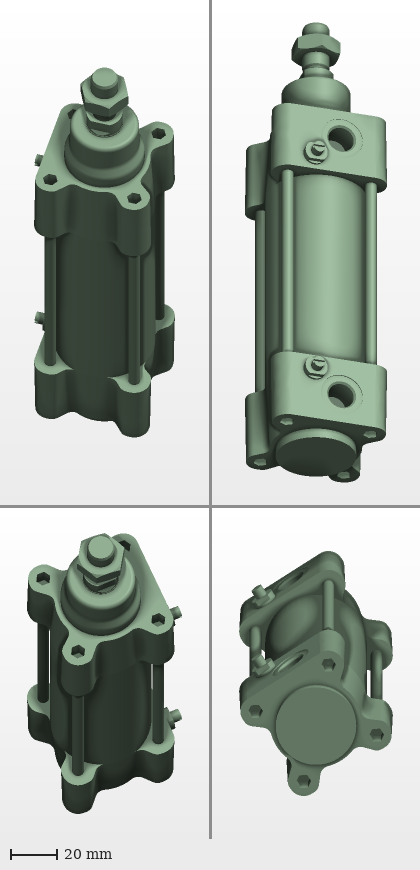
import cadquery as cq
import math

TOTAL_HEIGHT = 213.0
FOOT_HEIGHT = 4.3
CAP_HEIGHT = 30.9
FRONT_CAP_TOP = 159.0
NECK_TOP = 181.5
REAR_CAP_BOTTOM = FOOT_HEIGHT
REAR_CAP_TOP = REAR_CAP_BOTTOM + CAP_HEIGHT
FRONT_CAP_BOTTOM = FRONT_CAP_TOP - CAP_HEIGHT
MIRROR_LEVEL = (FRONT_CAP_TOP + REAR_CAP_BOTTOM) / 2

CAP_HALF_WIDTH = 26.0
CAP_DRAFT = 0.5
TIE_ROD_OFFSET = 19.0
LOBE_FLAT = 1.3
OUTER_SHOULDER_RADIUS = 4.5
INNER_SHOULDER_RADIUS = 5.1
FLANK_ANGLE = 49.0
VALLEY_RADIUS = 4.5
OUTER_WAIST_RADIUS = 20.0

BARREL_RADIUS = 44.0 / 2
TIE_ROD_DIAMETER = 5.1
SOCKET_ACROSS_FLATS = 5.8
SOCKET_DEPTH = 8.5
COLLAR_RADIUS = 35.0 / 2
NECK_RADIUS = 30.0 / 2
COLLAR_TOP = 163.4
NECK_BASE = 169.8
FLARE_ANGLE = 30.0
FLARE_BEND_HEIGHT = 2.0
NECK_FILLET = 2.0
WIPER_DIAMETER = 16.0
WIPER_HEIGHT = 0.6

PORT_Y = -3.6
PORT_BELOW_CAP_TOP = 13.6
PORT_DIAMETER = 11.5
PORT_MOUTH_DIAMETER = 13.2
PORT_DEPTH = 12.8
SPOT_FACE_DIAMETER = 19.0
SPOT_FACE_DEPTH = 0.6
SCREW_Y = 9.0
SCREW_BELOW_CAP_TOP = 23.9
SCREW_HEAD_DIAMETER = 10.0
SCREW_HEAD_END = 29.2
SCREW_FLATS_START = 27.0
SCREW_TIP_END = 33.5
SCREW_ACROSS_FLATS = 7.9
SCREW_TIP_DIAMETER = 5.1
SCREW_SLOT_WIDTH = 1.3
SCREW_SLOT_DEPTH = 1.3

ROD_DIAMETER = 15.5
ROD_ACROSS_FLATS = 13.0
FLATS_BOTTOM = 183.8
ROD_SHOULDER = 189.1
RELIEF_DIAMETER = 10.5
THREAD_BOTTOM = 191.7
THREAD_DIAMETER = 12.0
THREAD_CHAMFER_HEIGHT = 1.3
THREAD_CHAMFER_DEPTH = 0.6
NUT_ACROSS_FLATS = 19.0
NUT_BOTTOM = 198.0
NUT_HEIGHT = 7.0
NUT_ROTATION = -3.0
NUT_CHAMFER_SLOPE = 30.0


def cylinder(diameter, bottom, top):
    return cq.Workplane("XY").workplane(offset=bottom).circle(diameter / 2).extrude(top - bottom)


def hexagon(across_flats, bottom, height):
    corner_diameter = across_flats / math.cos(math.radians(30))
    return cq.Workplane("XY").workplane(offset=bottom).polygon(6, corner_diameter).extrude(height)


def flank_points(half_width, shoulder_radius, waist_radius):
    """Half of one scalloped side, from lobe to waist, as (distance from its middle, distance outward)."""
    angle = math.radians(FLANK_ANGLE)
    start = cq.Vector(TIE_ROD_OFFSET - LOBE_FLAT, half_width)
    shoulder_center = start - cq.Vector(0, shoulder_radius)

    def on_shoulder(turn):
        return shoulder_center + cq.Vector(-math.sin(turn), math.cos(turn)) * shoulder_radius

    normal = cq.Vector(-math.sin(angle), math.cos(angle))
    along = cq.Vector(math.cos(angle), math.sin(angle))
    normal_distance = on_shoulder(angle).dot(normal) + VALLEY_RADIUS
    center_distance = waist_radius + VALLEY_RADIUS
    valley_center = normal * normal_distance + along * math.sqrt(center_distance**2 - normal_distance**2)
    to_flank = normal * -1
    to_waist = valley_center.normalized() * -1
    valley_start = valley_center + to_flank * VALLEY_RADIUS
    valley_middle = valley_center + (to_flank + to_waist).normalized() * VALLEY_RADIUS
    valley_end = valley_center + to_waist * VALLEY_RADIUS
    points = [start, on_shoulder(angle / 2), on_shoulder(angle), valley_start, valley_middle, valley_end]
    return [(point.x, point.y) for point in points]


def cap_outline(level, inset, shoulder_radius, waist_radius):
    """Square with four round lobes, a flat -X side and three scalloped sides."""
    half_width = CAP_HALF_WIDTH - inset
    lobe_radius = half_width - TIE_ROD_OFFSET
    diagonal = TIE_ROD_OFFSET + lobe_radius * math.sin(math.radians(45))
    half_side = flank_points(half_width, shoulder_radius, waist_radius)

    outline = cq.Workplane("XY").workplane(offset=level).moveTo(-half_width, -TIE_ROD_OFFSET)
    for quarter in range(3):
        turn = math.radians(90 * quarter)

        def place(across, outward):
            return (across * math.cos(turn) + outward * math.sin(turn),
                    across * math.sin(turn) - outward * math.cos(turn))

        near = [place(-across, outward) for across, outward in half_side]
        far = [place(across, outward) for across, outward in half_side]
        outline = (
            outline.threePointArc(place(-diagonal, diagonal), place(-TIE_ROD_OFFSET, half_width))
            .lineTo(*near[0])
            .threePointArc(near[1], near[2])
            .lineTo(*near[3])
            .threePointArc(near[4], near[5])
            .threePointArc(place(0, waist_radius), far[5])
            .threePointArc(far[4], far[3])
            .lineTo(*far[2])
            .threePointArc(far[1], far[0])
            .lineTo(*place(TIE_ROD_OFFSET, half_width))
        )
    last_corner = (-half_width, TIE_ROD_OFFSET)
    return outline.threePointArc((-diagonal, diagonal), last_corner).close().val()


def at_tie_rods(shape):
    """Copies of a shape on the four tie rod axes."""
    places = [(x, y) for x in (-TIE_ROD_OFFSET, TIE_ROD_OFFSET) for y in (-TIE_ROD_OFFSET, TIE_ROD_OFFSET)]
    return [shape.translate((x, y, 0)) for x, y in places]


def side_cylinder(diameter, y, z, inner, outer):
    """Cylinder along X on the -X side, between two distances from the cylinder axis."""
    plane = cq.Plane(origin=(-inner, y, z), xDir=(0, 1, 0), normal=(-1, 0, 0))
    return cq.Workplane(plane).circle(diameter / 2).extrude(outer - inner)


def make_port(z):
    """Cutter for the bore with its conical mouth and shallow spot face."""
    floor = CAP_HALF_WIDTH - SPOT_FACE_DEPTH
    spot_face = side_cylinder(SPOT_FACE_DIAMETER, PORT_Y, z, floor, CAP_HALF_WIDTH)
    bore = side_cylinder(PORT_DIAMETER, PORT_Y, z, floor - PORT_DEPTH, floor)
    mouth_depth = (PORT_MOUTH_DIAMETER - PORT_DIAMETER) / 2
    mouth_plane = cq.Plane(origin=(-floor, PORT_Y, z), xDir=(0, 1, 0), normal=(1, 0, 0))
    mouth = (
        cq.Workplane(mouth_plane).circle(PORT_MOUTH_DIAMETER / 2)
        .workplane(offset=mouth_depth).circle(PORT_DIAMETER / 2)
        .loft(ruled=True)
    )
    return spot_face.union(bore).union(mouth)


def make_cushion_screw(z):
    """Round head with two parallel flats and a slotted tip, rooted inside the cap."""
    root = CAP_HALF_WIDTH - 2 * CAP_DRAFT
    flange = side_cylinder(SCREW_HEAD_DIAMETER, SCREW_Y, z, root, SCREW_FLATS_START)
    between_flats = cq.Workplane("XY").box(4 * CAP_HALF_WIDTH, 4 * CAP_HALF_WIDTH, SCREW_ACROSS_FLATS)
    head = side_cylinder(SCREW_HEAD_DIAMETER, SCREW_Y, z, root, SCREW_HEAD_END)
    head = head.intersect(between_flats.translate((0, 0, z)))
    tip = side_cylinder(SCREW_TIP_DIAMETER, SCREW_Y, z, root, SCREW_TIP_END)
    slot = cq.Workplane("XY").box(2 * SCREW_SLOT_DEPTH, SCREW_HEAD_DIAMETER, SCREW_SLOT_WIDTH)
    return flange.union(head).union(tip).cut(slot.translate((-SCREW_TIP_END, SCREW_Y, z)))


def make_front_cap():
    """Drafted cap with tie rod sockets, a port and a cushion screw."""
    wide_end = cap_outline(FRONT_CAP_BOTTOM, 0, INNER_SHOULDER_RADIUS, BARREL_RADIUS)
    outer_end = cap_outline(FRONT_CAP_TOP, CAP_DRAFT, OUTER_SHOULDER_RADIUS, OUTER_WAIST_RADIUS)
    cap = cq.Workplane(cq.Solid.makeLoft([wide_end, outer_end], True))
    for socket in at_tie_rods(hexagon(SOCKET_ACROSS_FLATS, FRONT_CAP_TOP - SOCKET_DEPTH, SOCKET_DEPTH)):
        cap = cap.cut(socket)
    cap = cap.cut(make_port(FRONT_CAP_TOP - PORT_BELOW_CAP_TOP))
    return cap.union(make_cushion_screw(FRONT_CAP_TOP - SCREW_BELOW_CAP_TOP))


def make_neck():
    """Collar, double-bend flare and bearing neck, revolved."""
    angle = math.radians(FLARE_ANGLE)
    bend = FLARE_BEND_HEIGHT * math.tan(angle / 2)
    bend_middle_height = FLARE_BEND_HEIGHT * math.sin(angle / 2) / math.sin(angle)
    bend_middle = bend_middle_height * math.tan(angle / 4)
    profile = (
        cq.Workplane("XZ").moveTo(0, FRONT_CAP_TOP)
        .lineTo(COLLAR_RADIUS, FRONT_CAP_TOP)
        .lineTo(COLLAR_RADIUS, COLLAR_TOP)
        .threePointArc((COLLAR_RADIUS - bend_middle, COLLAR_TOP + bend_middle_height),
                       (COLLAR_RADIUS - bend, COLLAR_TOP + FLARE_BEND_HEIGHT))
        .lineTo(NECK_RADIUS + bend, NECK_BASE - FLARE_BEND_HEIGHT)
        .threePointArc((NECK_RADIUS + bend_middle, NECK_BASE - bend_middle_height), (NECK_RADIUS, NECK_BASE))
        .lineTo(NECK_RADIUS, NECK_TOP)
        .lineTo(0, NECK_TOP)
        .close()
    )
    neck = profile.revolve(360, (0, 0, 0), (0, 1, 0)).faces(">Z").edges().fillet(NECK_FILLET)
    return neck.union(cylinder(WIPER_DIAMETER, NECK_TOP, NECK_TOP + WIPER_HEIGHT))


def make_housing():
    """Barrel, both caps, tie rods, neck and foot, bored for the piston rod."""
    front_cap = make_front_cap()
    rear_cap = front_cap.mirror("XY", (0, 0, MIRROR_LEVEL))
    housing = cylinder(2 * BARREL_RADIUS, REAR_CAP_TOP, FRONT_CAP_BOTTOM).union(front_cap).union(rear_cap)
    for tie_rod in at_tie_rods(cylinder(TIE_ROD_DIAMETER, REAR_CAP_TOP, FRONT_CAP_BOTTOM)):
        housing = housing.union(tie_rod)
    housing = housing.union(make_neck()).union(cylinder(2 * COLLAR_RADIUS, 0, FOOT_HEIGHT))
    return housing.cut(cylinder(ROD_DIAMETER, FRONT_CAP_BOTTOM, TOTAL_HEIGHT))


def make_piston_rod():
    """Rod with two wrench flats that run out at 45 degrees, an undercut and a plain thread cylinder."""
    rod = cylinder(ROD_DIAMETER, FRONT_CAP_BOTTOM, ROD_SHOULDER)
    run_out = (ROD_DIAMETER - ROD_ACROSS_FLATS) / 2
    wrench_flat = (
        cq.Workplane("YZ").moveTo(ROD_ACROSS_FLATS / 2, ROD_SHOULDER)
        .lineTo(ROD_ACROSS_FLATS / 2, FLATS_BOTTOM)
        .lineTo(ROD_DIAMETER / 2, FLATS_BOTTOM - run_out)
        .lineTo(ROD_DIAMETER / 2, ROD_SHOULDER)
        .close().extrude(ROD_DIAMETER / 2, both=True)
    )
    rod = rod.cut(wrench_flat).cut(wrench_flat.mirror("XZ"))
    thread = cylinder(THREAD_DIAMETER, THREAD_BOTTOM, TOTAL_HEIGHT).faces(">Z").chamfer(
        THREAD_CHAMFER_HEIGHT, THREAD_CHAMFER_DEPTH)
    thread = thread.faces("<Z").chamfer((THREAD_DIAMETER - RELIEF_DIAMETER) / 2)
    return rod.union(cylinder(RELIEF_DIAMETER, ROD_SHOULDER, THREAD_BOTTOM)).union(thread)


def make_nut():
    """Hexagon nut with conically chamfered corners at both ends."""
    corner_radius = NUT_ACROSS_FLATS / 2 / math.cos(math.radians(30))
    corner_cut = corner_radius - NUT_ACROSS_FLATS / 2
    corner_drop = corner_cut * math.tan(math.radians(NUT_CHAMFER_SLOPE))
    envelope = cylinder(2 * corner_radius, NUT_BOTTOM, NUT_BOTTOM + NUT_HEIGHT)
    envelope = envelope.faces("<Z or >Z").chamfer(corner_drop, corner_cut)
    nut = hexagon(NUT_ACROSS_FLATS, NUT_BOTTOM, NUT_HEIGHT).intersect(envelope)
    nut = nut.cut(cylinder(THREAD_DIAMETER, NUT_BOTTOM, NUT_BOTTOM + NUT_HEIGHT))
    return nut.rotate((0, 0, 0), (0, 0, 1), NUT_ROTATION)


housing = make_housing()
piston_rod = make_piston_rod()
nut = make_nut()

result = cq.Compound.makeCompound([housing.val(), piston_rod.val(), nut.val()])